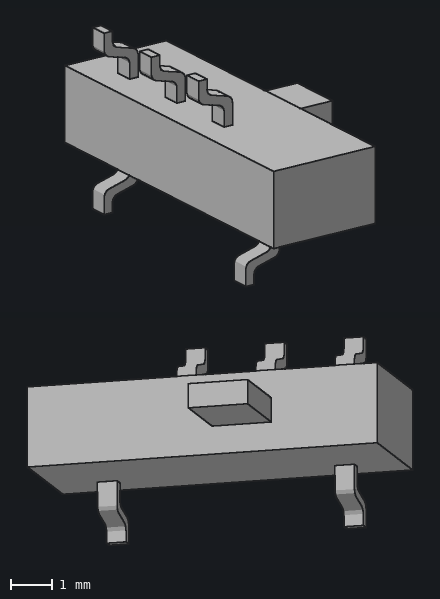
import cadquery as cq
import math


housing_length = 8.85
housing_depth = 3.0
housing_height = 2.0

slider_width = 1.5
slider_reach = 2.0
slider_thickness = 0.6

lead_pitch = 2.0
lead_place_count = 4
lead_width = 0.5
lead_thickness = 0.25
overall_height = 4.7
lead_height = (overall_height - housing_height) / 2
lead_root_back = 1.0
lead_rise = 0.55
lead_slope = 15.0
bend_radius = 0.2

first_lead_position = -(lead_place_count - 1) / 2 * lead_pitch
lead_positions = [first_lead_position + i * lead_pitch for i in range(lead_place_count)]
top_lead_positions = lead_positions[:-1]
bottom_lead_positions = [lead_positions[0], lead_positions[-1]]
slider_position = lead_positions[1]


def make_housing():
    return cq.Workplane("XY").box(
        housing_length, housing_depth, housing_height, centered=(True, False, True)
    )


def make_slider():
    slider = cq.Workplane("XY").box(
        slider_width, slider_reach, slider_thickness, centered=(True, False, True)
    )
    return slider.translate((slider_position, housing_depth, 0))


def make_top_lead(x):
    """Lead of even thickness, rising from the housing top and stepping to its front."""
    slope = math.tan(math.radians(lead_slope))
    slope_thickness = lead_thickness / math.cos(math.radians(lead_slope))
    root_front = lead_root_back - lead_thickness

    def lower_slope(y):
        return lead_rise + (root_front - y) * slope

    def upper_slope(y):
        return lower_slope(y) + slope_thickness

    lead = (
        cq.Workplane("YZ")
        .moveTo(lead_root_back, 0)
        .lineTo(lead_root_back, upper_slope(lead_root_back))
        .lineTo(lead_thickness, upper_slope(lead_thickness))
        .lineTo(lead_thickness, lead_height)
        .lineTo(0, lead_height)
        .lineTo(0, lower_slope(0))
        .lineTo(root_front, lower_slope(root_front))
        .lineTo(root_front, 0)
        .close()
        .extrude(lead_width / 2, both=True)
    )
    bends = cq.selectors.BoxSelector(
        (-lead_width, -lead_thickness, lead_rise / 2),
        (lead_width, lead_root_back + lead_thickness, lead_height - lead_thickness / 2),
    )
    lead = lead.edges("|X").edges(bends).fillet(bend_radius)
    return lead.translate((x, 0, housing_height / 2))


def make_bottom_lead(x):
    """Mirror image of a top lead, below the housing."""
    return make_top_lead(x).mirror("XY")


housing = make_housing()
slider = make_slider()
top_leads = [make_top_lead(x).val() for x in top_lead_positions]
bottom_leads = [make_bottom_lead(x).val() for x in bottom_lead_positions]

result = cq.Compound.makeCompound([housing.val(), slider.val(), *top_leads, *bottom_leads])